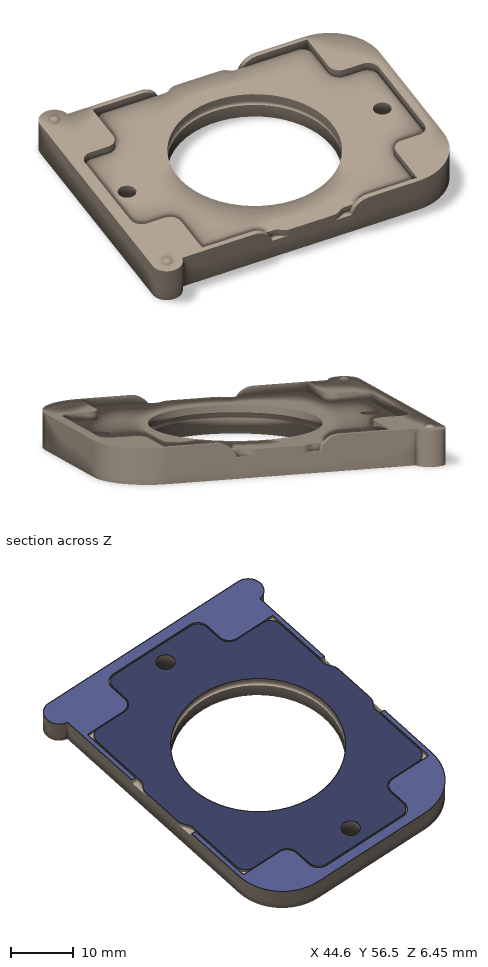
import cadquery as cq
import math

length = 56.45
width_over_lugs = 44.6
overall_height = 6.45
frame_height = 6.0
frame_width = 40.3
corner_radius = 9.0

lug_radius = 2.5
lug_length = 5.1
lug_x = width_over_lugs / 2 - lug_radius
lug_y = -length / 2 + lug_length / 2
dome_height = overall_height - frame_height
dome_base_radius = 0.9
dome_radius = (dome_base_radius**2 + dome_height**2) / (2 * dome_height)

opening_y = 0.1
pocket_depth = 2.55
pocket_floor = frame_height - pocket_depth
pocket_width = 38.65
shoulder_length = 38.5
tab_width = 19.85
tab_length = 52.6
fillet_radius = 2.0

opening_diameter = 27.9
counterbore_diameter = 30.4
counterbore_depth = 1.0
screw_hole_diameter = 3.0
screw_hole_spacing = 45.7

window_length = 20.8
window_edge_radius = 3.4

sheet_count = 2
sheet_top_depth = 1.35
sheet_thickness = (pocket_depth - sheet_top_depth) / sheet_count
side_gap = 0.15
shoulder_gap = 0.05
tab_side_gap = 0.1
tab_end_gap = 0.15
ear_flat_length = 7.85


def centred_box(size_x, size_y, bottom, height):
    """A box centred on the main opening."""
    return (
        cq.Workplane("XY", origin=(0, opening_y, bottom))
        .rect(size_x, size_y)
        .extrude(height)
    )


def cross_block(main_x, main_y, tab_x, tab_y, bottom, height):
    """A rectangle with a tab at each Y end; tab ends and tab roots are rounded."""
    main = centred_box(main_x, main_y, bottom, height)
    tabs = centred_box(tab_x, tab_y, bottom, height).edges("|Z").fillet(fillet_radius)
    margin = fillet_radius / 2
    reach_x = tab_x / 2 + margin
    reach_y = main_y / 2 + margin
    roots = cq.selectors.BoxSelector(
        (-reach_x, opening_y - reach_y, bottom - margin),
        (reach_x, opening_y + reach_y, bottom + height + margin),
    )
    return main.union(tabs).edges("|Z").edges(roots).fillet(fillet_radius)


def round_holes(diameter, points, bottom, height):
    return (
        cq.Workplane("XY", origin=(0, opening_y, bottom))
        .pushPoints(points)
        .circle(diameter / 2)
        .extrude(height)
    )


def through_holes():
    """Main opening and the two screw holes, as tools of full height."""
    screw_points = [(0, screw_hole_spacing / 2), (0, -screw_hole_spacing / 2)]
    opening = round_holes(opening_diameter, [(0, 0)], 0, frame_height)
    screws = round_holes(screw_hole_diameter, screw_points, 0, frame_height)
    return opening.union(screws)


def finger_window():
    """Tool that cuts both side walls; its ends flare outwards in arcs up to the top face."""
    r = window_edge_radius
    half_top = window_length / 2
    drop_angle = math.acos((r - pocket_depth) / r)
    half_bottom = half_top - r * math.sin(drop_angle)
    mid_y = half_top - r * math.sin(drop_angle / 2)
    mid_z = frame_height - r + r * math.cos(drop_angle / 2)
    return (
        cq.Workplane("YZ", origin=(0, opening_y, 0))
        .moveTo(-half_bottom, pocket_floor)
        .lineTo(half_bottom, pocket_floor)
        .threePointArc((mid_y, mid_z), (half_top, frame_height))
        .lineTo(-half_top, frame_height)
        .threePointArc((-mid_y, mid_z), (-half_bottom, pocket_floor))
        .close()
        .extrude(frame_width / 2, both=True)
    )


def dome(x):
    """Spherical cap standing on the top face."""
    sphere = cq.Workplane("XY").sphere(dome_radius)
    return sphere.translate((x, lug_y, overall_height - dome_radius))


def frame_block():
    """Solid frame: a slab with two rounded +Y corners and a foot that ends in the lugs."""
    slab_length = length / 2 - lug_y
    slab = cq.Workplane("XY").rect(frame_width, slab_length).extrude(frame_height)
    slab = slab.translate((0, lug_y + slab_length / 2, 0))
    slab = slab.edges("|Z and >Y").fillet(corner_radius)
    foot = (
        cq.Workplane("XY", origin=(0, lug_y, 0))
        .rect(width_over_lugs, lug_length)
        .extrude(frame_height)
        .edges("|Z")
        .fillet(lug_radius)
    )
    return slab.union(foot)


def make_frame():
    frame = frame_block()
    for x in (-lug_x, lug_x):
        frame = frame.union(dome(x))
    pocket = cross_block(
        pocket_width, shoulder_length, tab_width, tab_length, pocket_floor, pocket_depth
    )
    counterbore = round_holes(
        counterbore_diameter, [(0, 0)], pocket_floor - counterbore_depth, counterbore_depth
    )
    return frame.cut(pocket).cut(finger_window()).cut(counterbore).cut(through_holes())


def ears(bottom):
    """Bar across the sheet whose ends reach the frame's outer sides through the windows.

    Each end swells out of the sheet's long edge in an S of two equal arcs."""
    edge_x = pocket_width / 2 - side_gap
    tip_x = frame_width / 2
    half_step = (tip_x - edge_x) / 2
    arc_run = math.sqrt(fillet_radius**2 - (fillet_radius - half_step) ** 2)
    half_angle = math.asin(arc_run / fillet_radius) / 2
    sag = fillet_radius * (1 - math.cos(half_angle))
    run = fillet_radius * math.sin(half_angle)
    tip_y = ear_flat_length / 2
    bend_x = edge_x + half_step
    bend_y = tip_y + arc_run
    root_y = tip_y + 2 * arc_run
    ear = (
        cq.Workplane("XY", origin=(0, opening_y, bottom))
        .moveTo(0, -root_y)
        .lineTo(edge_x, -root_y)
        .threePointArc((edge_x + sag, -root_y + run), (bend_x, -bend_y))
        .threePointArc((tip_x - sag, -tip_y - run), (tip_x, -tip_y))
        .lineTo(tip_x, tip_y)
        .threePointArc((tip_x - sag, tip_y + run), (bend_x, bend_y))
        .threePointArc((edge_x + sag, root_y - run), (edge_x, root_y))
        .lineTo(0, root_y)
        .close()
        .extrude(sheet_thickness)
    )
    return ear.union(ear.mirror("YZ"))


def make_sheet(bottom):
    main_x = pocket_width - 2 * side_gap
    tab_x = tab_width - 2 * tab_side_gap
    tab_y = tab_length - 2 * tab_end_gap
    main_y = shoulder_length - 2 * shoulder_gap
    sheet = cross_block(main_x, main_y, tab_x, tab_y, bottom, sheet_thickness)
    sheet = sheet.edges("|Z and (<X or >X)").fillet(fillet_radius)
    return sheet.union(ears(bottom)).cut(through_holes())


frame = make_frame()
sheets = [make_sheet(pocket_floor + i * sheet_thickness) for i in range(sheet_count)]

result = cq.Compound.makeCompound([frame.val(), *[sheet.val() for sheet in sheets]])